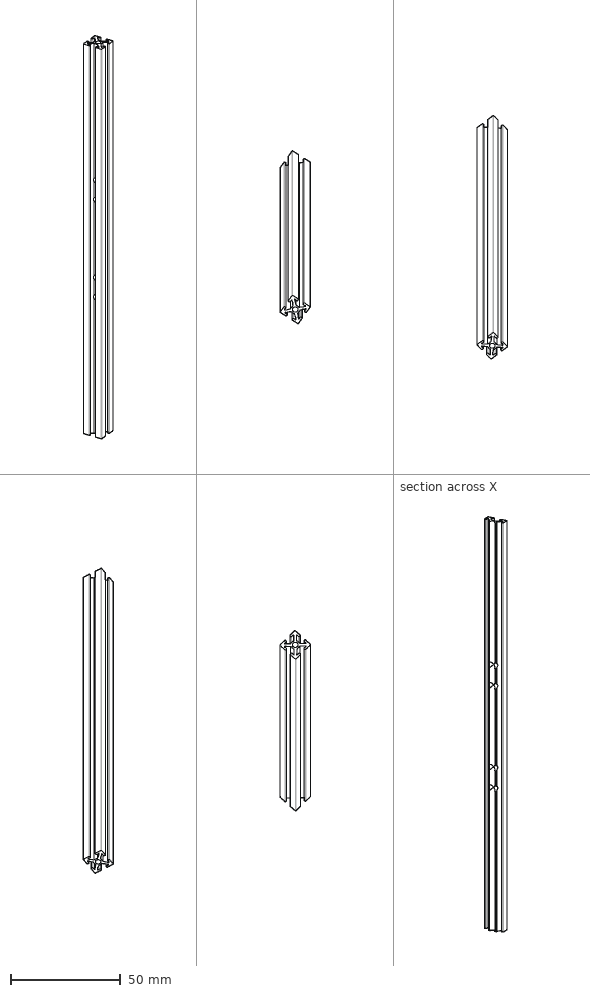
import cadquery as cq

SIDE = 10.0
LENGTH = 200.0
EDGE_RADIUS = 0.2

SLOT_OPENING = 3.0
LIP_THICKNESS = 1.0
CAVITY_WIDTH = 5.8
CAVITY_WALL_DEPTH = 0.3
SLOT_FLOOR_WIDTH = 2.0
CORE_WIDTH = 4.0
SLOT_ANGLES = (0, 90, 180, 270)

BORE_DIAMETER = 2.5
CROSS_HOLE_DIAMETER = 2.5
CROSS_HOLE_HEIGHTS = (-30.0, -20.0, 20.0, 30.0)

PICK_MARGIN = 0.01


def square_bar():
    bar = cq.Workplane("XY").box(SIDE, SIDE, LENGTH)
    return bar.edges("|Z").fillet(EDGE_RADIUS)


def slot_cutter():
    """T-slot in the +Y side: a narrow mouth opening into a cavity that tapers to the floor."""
    face = SIDE / 2
    lip = face - LIP_THICKNESS
    right_half = [
        (SLOT_FLOOR_WIDTH / 2, CORE_WIDTH / 2),
        (CAVITY_WIDTH / 2, lip - CAVITY_WALL_DEPTH),
        (CAVITY_WIDTH / 2, lip),
        (SLOT_OPENING / 2, lip),
        (SLOT_OPENING / 2, face),
    ]
    left_half = [(-x, y) for x, y in reversed(right_half)]
    outline = cq.Workplane("XY").polyline(right_half + left_half).close()
    return outline.extrude(LENGTH / 2, both=True)


def lengthwise_edge_at(x, y):
    """Selector for the edge parallel to Z that passes through (x, y)."""
    reach = LENGTH / 2 + PICK_MARGIN
    low = (x - PICK_MARGIN, y - PICK_MARGIN, -reach)
    high = (x + PICK_MARGIN, y + PICK_MARGIN, reach)
    return cq.selectors.BoxSelector(low, high)


def cut_slot(bar):
    """Cut the slot in the +Y side and round the outer and inner edges of its lips."""
    bar = bar.cut(slot_cutter())
    face = SIDE / 2
    for x in (-SLOT_OPENING / 2, SLOT_OPENING / 2):
        for y in (face, face - LIP_THICKNESS):
            bar = bar.edges(lengthwise_edge_at(x, y)).fillet(EDGE_RADIUS)
    return bar


def turned(bar, angle):
    return bar.rotate((0, 0, 0), (0, 0, 1), angle)


def axial_bore():
    return cq.Workplane("XY").circle(BORE_DIAMETER / 2).extrude(LENGTH / 2, both=True)


def cross_holes():
    """Holes through the core along Y, from slot floor to slot floor."""
    centres = [(0, z) for z in CROSS_HOLE_HEIGHTS]
    holes = cq.Workplane("XZ").pushPoints(centres).circle(CROSS_HOLE_DIAMETER / 2)
    return holes.extrude(SIDE / 2, both=True)


result = square_bar()
for slot_angle in SLOT_ANGLES:
    result = turned(cut_slot(turned(result, -slot_angle)), slot_angle)
result = result.cut(axial_bore()).cut(cross_holes())